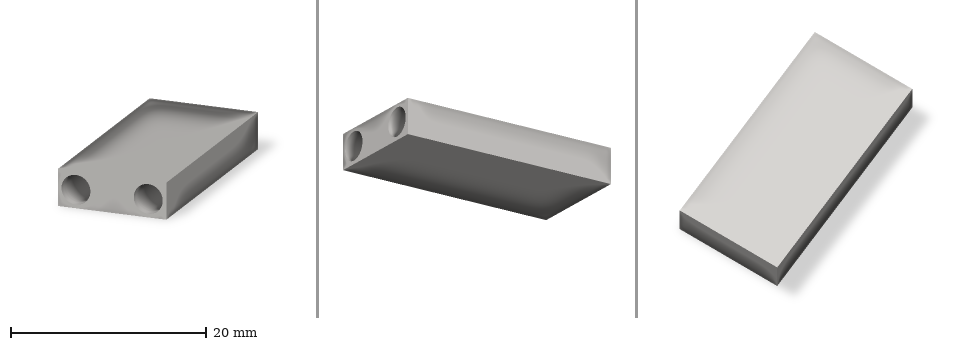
import cadquery as cq

width = 12.0
length = 25.0
height = 4.0

bore_diameter = 3.2
bore_spacing = 8.0
bore_depth = length / 2


def make_block():
    """Plain rectangular block centred on the origin."""
    return cq.Workplane("XY").box(width, length, height)


def drill_bores(block):
    """Sink the pair of flat-bottomed bores along +Y."""
    bore_centres = [(-bore_spacing / 2, 0), (bore_spacing / 2, 0)]
    return (
        block.faces("<Y")
        .workplane(origin=(0, -length / 2, 0))
        .pushPoints(bore_centres)
        .hole(bore_diameter, bore_depth)
    )


result = drill_bores(make_block())